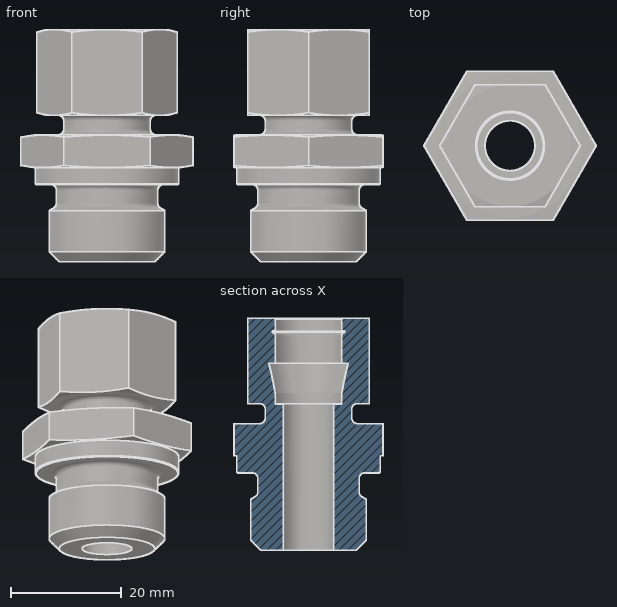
import cadquery as cq
import math

total_height = 42.0
nut_bottom = 26.5
hex_top = 22.97
hex_bottom = 17.0
collar_bottom = 14.0
thread_top = 9.3

nut_flats = 22.0
nut_bevel_angle = 15.0
hex_flats = 27.0
hex_face_diameter = 26.0
hex_bevel_angle = 9.0

neck_diameter = 15.7
collar_diameter = hex_face_diameter
collar_chamfer = 0.15
undercut_diameter = 18.4
thread_diameter = 20.95
thread_chamfer = 1.85
relief_radius = 1.0
runout_angle = 60.0

bore_diameter = 9.0
tube_diameter = 12.0
entry_diameter = 12.45
nut_bore_depth = 2.35
ring_gap = 0.2
ring_edge_radius = 0.55
ring_end_depth = 8.2
cone_mouth_diameter = 14.3
cone_half_angle = 12.0
tube_stop = nut_bottom


def beveled_hexagon(flats, face_diameter, bevel_angle, bottom, top):
    """Hexagonal prism, corners on X, with conical bevels at both ends."""
    corner_radius = flats / math.sqrt(3)
    face_radius = face_diameter / 2
    bevel_height = (corner_radius - face_radius) * math.tan(math.radians(bevel_angle))
    prism = (
        cq.Workplane("XY", origin=(0, 0, bottom))
        .polygon(6, 2 * corner_radius)
        .extrude(top - bottom)
    )
    envelope = (
        cq.Workplane("XZ")
        .moveTo(0, bottom)
        .lineTo(face_radius, bottom)
        .lineTo(corner_radius, bottom + bevel_height)
        .lineTo(corner_radius, top - bevel_height)
        .lineTo(face_radius, top)
        .lineTo(0, top)
        .close()
        .revolve(360, (0, 0, 0), (0, 1, 0))
    )
    return prism.intersect(envelope)


def arc_point(center, radius, angle):
    """Point on an arc about center, with the angle in degrees from +X."""
    return (
        center[0] + radius * math.cos(math.radians(angle)),
        center[1] + radius * math.sin(math.radians(angle)),
    )


def make_stem():
    """Threaded end, undercut and sealing collar as one turned body."""
    thread_radius = thread_diameter / 2
    collar_radius = collar_diameter / 2
    undercut_radius = undercut_diameter / 2
    fillet_axis = undercut_radius + relief_radius

    fillet_width = relief_radius * (1 - math.cos(math.radians(runout_angle)))
    cone_width = thread_radius - undercut_radius - fillet_width
    cone_height = cone_width / math.tan(math.radians(runout_angle))
    fillet_height = relief_radius * math.sin(math.radians(runout_angle))
    lower_center = (fillet_axis, thread_top + cone_height + fillet_height)
    upper_center = (fillet_axis, collar_bottom - relief_radius)

    return (
        cq.Workplane("XZ")
        .moveTo(0, 0)
        .lineTo(thread_radius - thread_chamfer, 0)
        .lineTo(thread_radius, thread_chamfer)
        .lineTo(thread_radius, thread_top)
        .lineTo(*arc_point(lower_center, relief_radius, 180 + runout_angle))
        .threePointArc(
            arc_point(lower_center, relief_radius, 180 + runout_angle / 2),
            arc_point(lower_center, relief_radius, 180),
        )
        .lineTo(*arc_point(upper_center, relief_radius, 180))
        .threePointArc(
            arc_point(upper_center, relief_radius, 135),
            arc_point(upper_center, relief_radius, 90),
        )
        .lineTo(collar_radius - collar_chamfer, collar_bottom)
        .lineTo(collar_radius, collar_bottom + collar_chamfer)
        .lineTo(collar_radius, hex_bottom)
        .lineTo(0, hex_bottom)
        .close()
        .revolve(360, (0, 0, 0), (0, 1, 0))
    )


def make_neck():
    """Waist between the two hexagons, filleted into both."""
    neck_radius = neck_diameter / 2
    fillet_axis = neck_radius + relief_radius
    lower_center = (fillet_axis, hex_top + relief_radius)
    upper_center = (fillet_axis, nut_bottom - relief_radius)
    return (
        cq.Workplane("XZ")
        .moveTo(0, hex_top)
        .lineTo(*arc_point(lower_center, relief_radius, 270))
        .threePointArc(
            arc_point(lower_center, relief_radius, 225),
            arc_point(lower_center, relief_radius, 180),
        )
        .lineTo(*arc_point(upper_center, relief_radius, 180))
        .threePointArc(
            arc_point(upper_center, relief_radius, 135),
            arc_point(upper_center, relief_radius, 90),
        )
        .lineTo(0, nut_bottom)
        .close()
        .revolve(360, (0, 0, 0), (0, 1, 0))
    )


def make_bore():
    """Through bore, conical tube socket, clamping ring bore and chamfered nut entry."""
    bore_radius = bore_diameter / 2
    tube_radius = tube_diameter / 2
    entry_radius = entry_diameter / 2
    entry_chamfer = entry_radius - tube_radius
    nut_bore_end = total_height - nut_bore_depth
    ring_top = nut_bore_end - ring_gap
    ring_end = total_height - ring_end_depth
    edge_center = (tube_radius + ring_edge_radius, ring_top - ring_edge_radius)
    mouth_radius = cone_mouth_diameter / 2
    cone_height = (mouth_radius - tube_radius) / math.tan(math.radians(cone_half_angle))
    return (
        cq.Workplane("XZ")
        .moveTo(0, 0)
        .lineTo(bore_radius, 0)
        .lineTo(bore_radius, tube_stop)
        .lineTo(tube_radius, tube_stop)
        .lineTo(tube_radius, ring_end - cone_height)
        .lineTo(mouth_radius, ring_end)
        .lineTo(tube_radius, ring_end)
        .lineTo(*arc_point(edge_center, ring_edge_radius, 180))
        .threePointArc(
            arc_point(edge_center, ring_edge_radius, 135),
            arc_point(edge_center, ring_edge_radius, 90),
        )
        .lineTo(edge_center[0], nut_bore_end)
        .lineTo(tube_radius, nut_bore_end)
        .lineTo(tube_radius, total_height - entry_chamfer)
        .lineTo(entry_radius, total_height)
        .lineTo(0, total_height)
        .close()
        .revolve(360, (0, 0, 0), (0, 1, 0))
    )


nut = beveled_hexagon(nut_flats, nut_flats, nut_bevel_angle, nut_bottom, total_height)
body_hexagon = beveled_hexagon(
    hex_flats, hex_face_diameter, hex_bevel_angle, hex_bottom, hex_top
)

result = make_stem().union(body_hexagon).union(make_neck()).union(nut).cut(make_bore())